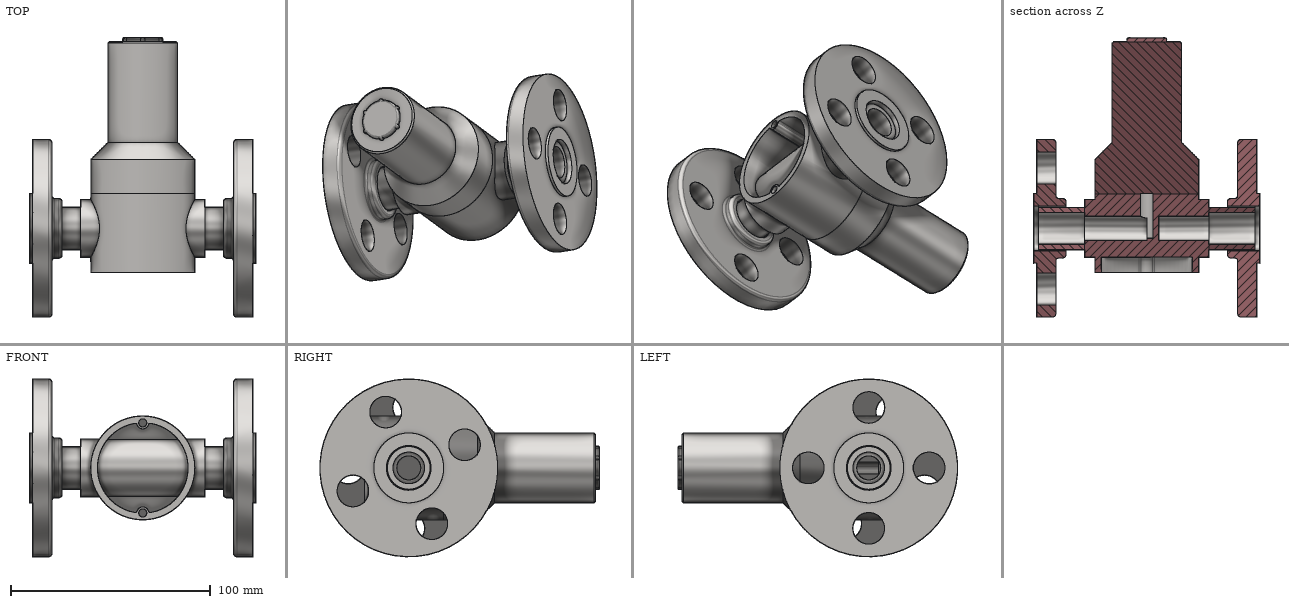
import cadquery as cq
import math


FACE_TO_FACE = 113.0
STEM_TOP = 95.4

FLANGE_DIA = 89.0
FLANGE_THICKNESS = 9.8
FLANGE_EDGE_RADIUS = 1.8
RAISED_FACE_DIA = 35.0
RAISED_FACE_HEIGHT = 1.4
FLANGE_BORE = 22.4
HUB_DIA = 30.0
HUB_LENGTH = 5.0
HUB_EDGE_RADIUS = 1.8
HUB_ROOT_RADIUS = 1.3
BOLT_HOLE_DIA = 15.8
BOLT_HOLE_COUNT = 4
BOLT_CIRCLE_DIA = 60.5
LEFT_BOLT_TURN = 0.0
RIGHT_BOLT_TURN = 22.5

PIPE_DIA = 21.4
PIPE_BORE = 15.8
PIPE_SETBACK = 2.4

HOUSING_DIA = 52.0
HOUSING_FRONT = -22.1
HOUSING_BACK = 17.3
RUN_DIA = 29.0
RUN_LENGTH = 62.1
CAVITY_DIA = 45.3
CAVITY_FLOOR = -2.1
BOSS_DIA = 6.0
BOSS_OFFSET = 22.5
BOSS_ROOT_RADIUS = 1.0
SCREW_HOLE_DIA = 4.0
SCREW_HOLE_DEPTH = 14.0
PORT_DIA = 12.0
STEM_HOLE_DIA = 6.0
STEM_HOLE_END = -4.9

BONNET_DIA = 35.0
BONNET_BACK = 93.5
CONE_START = 34.4
BONNET_EDGE_CHAMFER = 0.8

PLUG_DIA = 20.1
PLUG_RIB_COUNT = 6
PLUG_RIB_RADIUS = 1.1
PLUG_RIB_REACH = 10.9
PLUG_EDGE_RADIUS = 0.8

FACE_X = FACE_TO_FACE / 2
FLANGE_OUTER_X = FACE_X - RAISED_FACE_HEIGHT
FLANGE_INNER_X = FLANGE_OUTER_X - FLANGE_THICKNESS
HUB_END_X = FLANGE_INNER_X - HUB_LENGTH
PIPE_OUTER_X = FACE_X - PIPE_SETBACK
RUN_END_X = RUN_LENGTH / 2


def x_cylinder(diameter, start, end):
    """Cylinder along X from start to end, with its seam on the -Y side."""
    plane = cq.Plane(origin=(start, 0, 0), xDir=(0, -1, 0), normal=(1, 0, 0))
    return cq.Workplane(plane).circle(diameter / 2).extrude(end - start)


def y_cylinder(diameter, start, end, z=0.0):
    """Cylinder along Y from start to end, its axis at height z."""
    plane = cq.Plane(origin=(0, start, z), xDir=(1, 0, 0), normal=(0, 1, 0))
    return cq.Workplane(plane).circle(diameter / 2).extrude(end - start)


def flange_profile():
    """Half section of a flange in XY, from the bore out to the rim."""
    bore_r = FLANGE_BORE / 2
    hub_r = HUB_DIA / 2
    rim_r = FLANGE_DIA / 2
    arc_middle = 1 - math.sqrt(0.5)
    return (
        cq.Workplane("XY")
        .moveTo(HUB_END_X, bore_r)
        .lineTo(HUB_END_X, hub_r - HUB_EDGE_RADIUS)
        .threePointArc(
            (HUB_END_X + HUB_EDGE_RADIUS * arc_middle, hub_r - HUB_EDGE_RADIUS * arc_middle),
            (HUB_END_X + HUB_EDGE_RADIUS, hub_r),
        )
        .lineTo(FLANGE_INNER_X - HUB_ROOT_RADIUS, hub_r)
        .threePointArc(
            (FLANGE_INNER_X - HUB_ROOT_RADIUS * arc_middle, hub_r + HUB_ROOT_RADIUS * arc_middle),
            (FLANGE_INNER_X, hub_r + HUB_ROOT_RADIUS),
        )
        .lineTo(FLANGE_INNER_X, rim_r - FLANGE_EDGE_RADIUS)
        .threePointArc(
            (FLANGE_INNER_X + FLANGE_EDGE_RADIUS * arc_middle, rim_r - FLANGE_EDGE_RADIUS * arc_middle),
            (FLANGE_INNER_X + FLANGE_EDGE_RADIUS, rim_r),
        )
        .lineTo(FLANGE_OUTER_X, rim_r)
        .lineTo(FLANGE_OUTER_X, RAISED_FACE_DIA / 2)
        .lineTo(FACE_X, RAISED_FACE_DIA / 2)
        .lineTo(FACE_X, bore_r)
        .close()
    )


def make_flange(bolt_turn):
    """Flange of the +X end, its bolt holes turned about X by bolt_turn degrees."""
    flange = flange_profile().revolve(360, (0, 0, 0), (1, 0, 0))
    for index in range(BOLT_HOLE_COUNT):
        angle = bolt_turn + index * 360 / BOLT_HOLE_COUNT
        hole = x_cylinder(BOLT_HOLE_DIA, FLANGE_INNER_X, FLANGE_OUTER_X)
        hole = hole.translate((0, 0, BOLT_CIRCLE_DIA / 2))
        flange = flange.cut(hole.rotate((0, 0, 0), (1, 0, 0), angle))
    return flange


def make_pipe():
    """Pipe of the +X end, from the end of the housing run to just inside the flange face."""
    pipe = x_cylinder(PIPE_DIA, RUN_END_X, PIPE_OUTER_X)
    return pipe.cut(x_cylinder(PIPE_BORE, RUN_END_X, PIPE_OUTER_X))


def make_cavity():
    """Space inside the housing, notched by two screw bosses that blend into its wall."""
    cavity = y_cylinder(CAVITY_DIA, HOUSING_FRONT, CAVITY_FLOOR)
    for z in (-BOSS_OFFSET, BOSS_OFFSET):
        cavity = cavity.cut(y_cylinder(BOSS_DIA, HOUSING_FRONT, CAVITY_FLOOR, z))
    near_bosses = cq.selectors.BoxSelector(
        (-BOSS_DIA, HOUSING_FRONT, -CAVITY_DIA), (BOSS_DIA, CAVITY_FLOOR, CAVITY_DIA)
    )
    return cavity.edges("|Y").edges(near_bosses).fillet(BOSS_ROOT_RADIUS)


def make_housing():
    """Cup open toward -Y, crossed by the run that carries the flow ports."""
    housing = y_cylinder(HOUSING_DIA, HOUSING_FRONT, HOUSING_BACK)
    housing = housing.cut(make_cavity())
    for z in (-BOSS_OFFSET, BOSS_OFFSET):
        hole_end = HOUSING_FRONT + SCREW_HOLE_DEPTH
        housing = housing.cut(y_cylinder(SCREW_HOLE_DIA, HOUSING_FRONT, hole_end, z))
    housing = housing.union(x_cylinder(RUN_DIA, -RUN_END_X, RUN_END_X))
    housing = housing.cut(x_cylinder(PORT_DIA, -RUN_END_X, 0))
    housing = housing.cut(x_cylinder(PORT_DIA, STEM_HOLE_DIA, RUN_END_X))
    return housing.cut(y_cylinder(STEM_HOLE_DIA, STEM_HOLE_END, HOUSING_BACK))


def make_bonnet():
    """Solid bonnet with a 45 degree shoulder down to its neck."""
    neck_r = BONNET_DIA / 2
    base_r = HOUSING_DIA / 2
    cone_end = CONE_START + base_r - neck_r
    return (
        cq.Workplane("XY")
        .moveTo(0, HOUSING_BACK)
        .lineTo(base_r, HOUSING_BACK)
        .lineTo(base_r, CONE_START)
        .lineTo(neck_r, cone_end)
        .lineTo(neck_r, BONNET_BACK - BONNET_EDGE_CHAMFER)
        .lineTo(neck_r - BONNET_EDGE_CHAMFER, BONNET_BACK)
        .lineTo(0, BONNET_BACK)
        .close()
        .revolve(360, (0, 0, 0), (0, 1, 0))
    )


def make_plug():
    """Low round plug with half-round ribs around its side, one of them toward +Z."""
    plug = y_cylinder(PLUG_DIA, BONNET_BACK, STEM_TOP)
    rib_offset = PLUG_RIB_REACH - PLUG_RIB_RADIUS
    for index in range(PLUG_RIB_COUNT):
        rib = y_cylinder(2 * PLUG_RIB_RADIUS, BONNET_BACK, STEM_TOP, rib_offset)
        plug = plug.union(rib.rotate((0, 0, 0), (0, 1, 0), index * 360 / PLUG_RIB_COUNT))
    return plug.faces(">Y").edges().fillet(PLUG_EDGE_RADIUS)


right_flange = make_flange(RIGHT_BOLT_TURN)
left_flange = make_flange(LEFT_BOLT_TURN).mirror("YZ")
right_pipe = make_pipe()
left_pipe = make_pipe().mirror("YZ")
housing = make_housing()
bonnet = make_bonnet()
plug = make_plug()

result = cq.Compound.makeCompound([
    right_flange.val(),
    left_flange.val(),
    right_pipe.val(),
    left_pipe.val(),
    housing.val(),
    bonnet.val(),
    plug.val(),
])